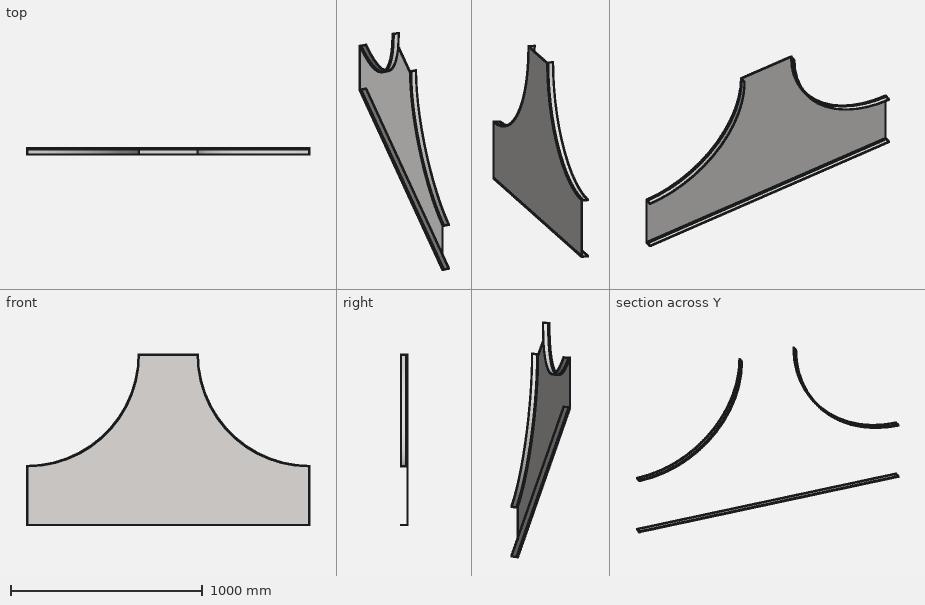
import cadquery as cq

length = 1470.0
width = 309.0
depth = 35.0
lip_depth = 8.0
plate_sheet = 1.0
rim_sheet = 1.0
bend_inside = 1.0

half_length = length / 2
half_branch = width / 2
corner_radius = half_length - half_branch
height = width + corner_radius
bend_outside = bend_inside + plate_sheet
diagonal = 0.5 ** 0.5

rim_start = -bend_outside
rim_height = depth - bend_outside


def corner_middle(side, radius):
    """Middle point of a corner arc, centred level with the branch top at the end of the run."""
    return (side * (half_length - radius * diagonal), height - radius * diagonal)


def rounded_tee(inset, back, bend_radius):
    """T-shaped block whose long edge and curved edges are moved in by the inset and rounded at the back."""
    radius = corner_radius + inset
    shoulder = height - radius
    neck = half_length - radius
    block = (
        cq.Workplane("XZ", origin=(0, back, 0))
        .moveTo(-half_length, inset)
        .lineTo(half_length, inset)
        .lineTo(half_length, shoulder)
        .threePointArc(corner_middle(1, radius), (neck, height))
        .lineTo(-neck, height)
        .threePointArc(corner_middle(-1, radius), (-half_length, shoulder))
        .close()
        .extrude(lip_depth)
    )
    back_edges = block.faces(">Y").edges("%CIRCLE or <Z")
    return back_edges.fillet(bend_radius)


lip_space = rounded_tee(plate_sheet, -plate_sheet, bend_inside)
plate = rounded_tee(0, 0, bend_outside).cut(lip_space)

straight_rim = (
    cq.Workplane("XY")
    .box(length, rim_height, rim_sheet, centered=(True, False, False))
    .translate((0, -depth, plate_sheet))
)


def curved_rim(side):
    """Quarter-ring rim on the inside of one curved lip."""
    outer_face = corner_radius + plate_sheet
    inner_face = outer_face + rim_sheet
    end_x = side * half_length
    return (
        cq.Workplane("XZ", origin=(0, rim_start, 0))
        .moveTo(end_x, height - outer_face)
        .threePointArc(corner_middle(side, outer_face), (side * (half_length - outer_face), height))
        .lineTo(side * (half_length - inner_face), height)
        .threePointArc(corner_middle(side, inner_face), (end_x, height - inner_face))
        .close()
        .extrude(rim_height)
    )


curved_rims = [curved_rim(side) for side in (-1, 1)]

result = cq.Compound.makeCompound(
    [plate.val(), straight_rim.val(), *[rim.val() for rim in curved_rims]]
)